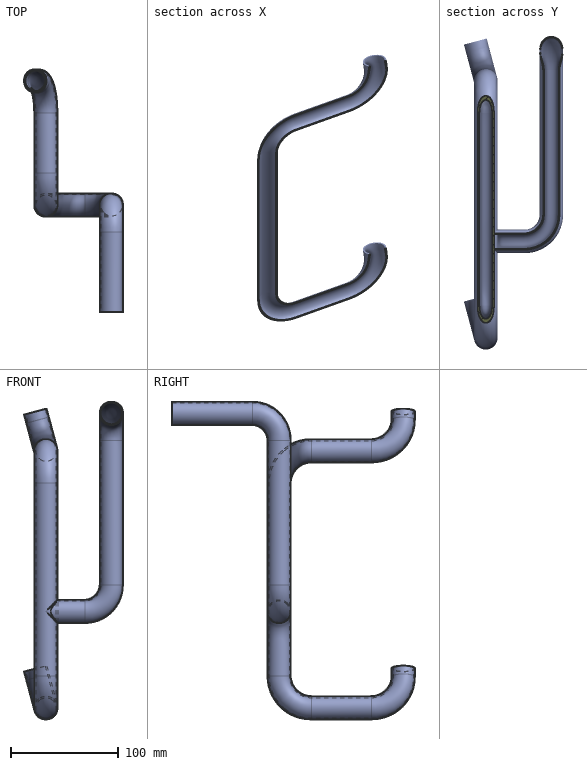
import cadquery as cq
import math

TUBE_RADIUS = 11.0

MAIN_WALL = 1.5
MAIN_BEND_RADIUS = 30.0
MAIN_HEIGHT = 240.0
ARM_REACH = 116.0
HOOK_TILT = 15.0
HOOK_LENGTH = 38.0

BRANCH_WALL = 1.0
BRANCH_BEND_RADIUS = 25.0
BRANCH_HEIGHT = 90.0
BRANCH_OFFSET = 61.2
RISER_HEIGHT = 185.0
OUTLET_REACH = 100.0


def rounded_path(corners, bend_radius):
    """Wire through the corners, with each right-angled inner corner turned into an arc."""
    points = [cq.Vector(*corner) for corner in corners]
    edges = []
    start = points[0]
    for before, corner, after in zip(points, points[1:], points[2:]):
        incoming = (before - corner).normalized()
        outgoing = (after - corner).normalized()
        inward = incoming + outgoing
        bend_start = corner + incoming * bend_radius
        bend_end = corner + outgoing * bend_radius
        bend_centre = corner + inward * bend_radius
        bend_middle = bend_centre - inward.normalized() * bend_radius
        edges.append(cq.Edge.makeLine(start, bend_start))
        edges.append(cq.Edge.makeThreePointArc(bend_start, bend_middle, bend_end))
        start = bend_end
    edges.append(cq.Edge.makeLine(start, points[-1]))
    return cq.Wire.assembleEdges(edges)


def rod(corners, bend_radius, radius):
    """Solid round bar bent along the corners."""
    start = cq.Vector(*corners[0])
    direction = cq.Vector(*corners[1]) - start
    section = cq.Workplane(cq.Plane(origin=start, normal=direction)).circle(radius)
    return section.sweep(rounded_path(corners, bend_radius))


def main_corners():
    """Open end of the lower hook, round the frame, to the open end of the upper hook."""
    tilt = math.radians(HOOK_TILT)
    hook_x = -HOOK_LENGTH * math.sin(tilt)
    hook_rise = HOOK_LENGTH * math.cos(tilt)
    return [
        (hook_x, ARM_REACH, hook_rise),
        (0, ARM_REACH, 0),
        (0, 0, 0),
        (0, 0, MAIN_HEIGHT),
        (0, ARM_REACH, MAIN_HEIGHT),
        (hook_x, ARM_REACH, MAIN_HEIGHT + hook_rise),
    ]


def branch_corners():
    """Upright axis, up the riser, to the open end of the outlet."""
    outlet_z = BRANCH_HEIGHT + RISER_HEIGHT
    return [
        (0, 0, BRANCH_HEIGHT),
        (BRANCH_OFFSET, 0, BRANCH_HEIGHT),
        (BRANCH_OFFSET, 0, outlet_z),
        (BRANCH_OFFSET, -OUTLET_REACH, outlet_z),
    ]


def main_bar(radius):
    """Solid bar along the main tube axis."""
    return rod(main_corners(), MAIN_BEND_RADIUS, radius)


def branch_bar(radius):
    """Solid bar along the branch tube axis."""
    return rod(branch_corners(), BRANCH_BEND_RADIUS, radius)


main_outside = main_bar(TUBE_RADIUS)
main_tube = main_outside.cut(main_bar(TUBE_RADIUS - MAIN_WALL))

branch_pipe = branch_bar(TUBE_RADIUS).cut(branch_bar(TUBE_RADIUS - BRANCH_WALL))
branch_tube = branch_pipe.cut(main_outside)

result = main_tube.union(branch_tube).solids()